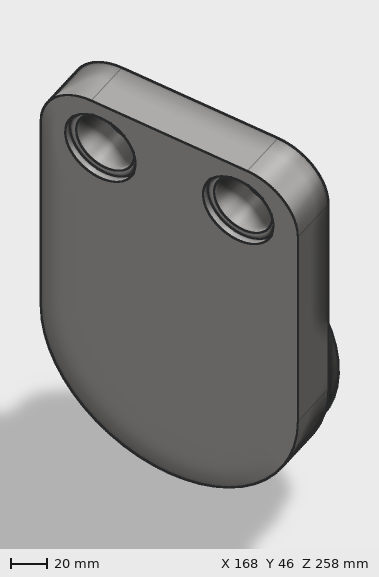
import cadquery as cq

plate_width = 168.0
plate_height = 258
plate_thickness = 31
corner_radius = 33.0
bottom_radius = plate_width / 2

pad_diameter = 162.0
pad_thickness = 15.0

hole_diameter = 38.0
hole_spacing = 90.0
hole_drop = 33.0
counterbore_diameter = 46.0
counterbore_depth = 5.0

top_z = plate_height - bottom_radius
hole_z = top_z - hole_drop


def cylinder_along_y(x, z, diameter, start_y, length):
    """Cylinder pointing toward +Y from start_y."""
    start = cq.Vector(x, start_y, z)
    return cq.Workplane(cq.Solid.makeCylinder(diameter / 2, length, start, cq.Vector(0, 1, 0)))


def make_plate():
    plate = (
        cq.Workplane("XZ")
        .moveTo(-bottom_radius, 0)
        .threePointArc((0, -bottom_radius), (bottom_radius, 0))
        .lineTo(bottom_radius, top_z)
        .lineTo(-bottom_radius, top_z)
        .close()
        .extrude(-plate_thickness)
    )
    top_corners = plate.faces(">Z").edges("|Y")
    return top_corners.fillet(corner_radius)


pad = cylinder_along_y(0, 0, pad_diameter, plate_thickness, pad_thickness)
result = make_plate().union(pad)

for hole_x in (-hole_spacing / 2, hole_spacing / 2):
    hole = cylinder_along_y(hole_x, hole_z, hole_diameter, 0, plate_thickness)
    counterbore = cylinder_along_y(hole_x, hole_z, counterbore_diameter, 0, counterbore_depth)
    result = result.cut(hole).cut(counterbore)